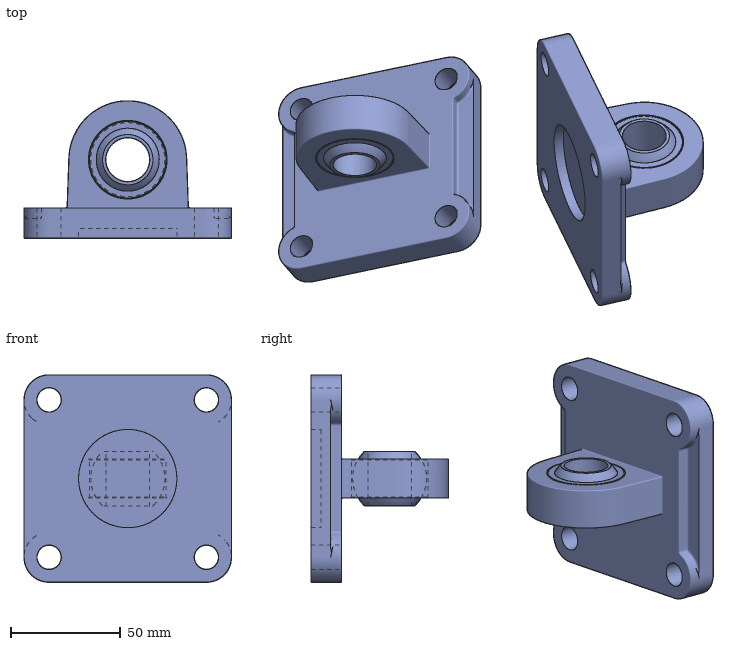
import cadquery as cq
import math

plate_size = 95.0
plate_thickness = 14.0
axis_to_mounting_face = 36.0
bolt_spacing = 72.0
bolt_hole_diameter = 11.0
edge_fillet = 0.5

recess_diameter = 45.0
recess_depth = 4.5

pocket_depth = 8.0
pocket_corner_radius = 1.5
pocket_floor_fillet = 1.0
side_flange_thickness = 9.0

tongue_radius = 27.0
tongue_thickness = 18.0
tongue_taper = math.radians(2.0)
tongue_base_fillet = 0.5

bore_diameter = 20.0
ball_diameter = 34.0
ball_width = 25.0
race_diameter = 35.0
seat_chamfer = 0.5

half_plate = plate_size / 2
half_bolt = bolt_spacing / 2
boss_radius = half_plate - half_bolt
mounting_face_y = -axis_to_mounting_face
plate_back_y = mounting_face_y + plate_thickness
pocket_floor_y = mounting_face_y + side_flange_thickness
tolerance = 0.1


def xz_plane(y):
    """Sketch plane at the given Y: local x is X, local y is Z; extruding by -d goes towards +Y."""
    return cq.Workplane(cq.Plane(origin=(0, y, 0), xDir=(1, 0, 0), normal=(0, -1, 0)))


def make_pocket():
    """Cutter for the -X side pocket, which curves around the corner bosses above and below it."""
    outside_x = -half_plate - pocket_depth
    wall_x = -half_plate + pocket_depth

    corner_x = wall_x - pocket_corner_radius
    angle = math.acos((-half_bolt - corner_x) / (boss_radius + pocket_corner_radius))
    corner_z = half_bolt - (boss_radius + pocket_corner_radius) * math.sin(angle)
    corner_mid_x = corner_x + pocket_corner_radius * math.cos(angle / 2)
    corner_mid_z = corner_z + pocket_corner_radius * math.sin(angle / 2)

    tangent_x = -half_bolt - boss_radius * math.cos(angle)
    tangent_z = half_bolt - boss_radius * math.sin(angle)
    boss_mid_x = -half_bolt - boss_radius * math.cos(angle / 2)
    boss_mid_z = half_bolt - boss_radius * math.sin(angle / 2)

    sharp_pocket = (
        xz_plane(pocket_floor_y)
        .moveTo(-half_plate, half_bolt)
        .threePointArc((boss_mid_x, boss_mid_z), (tangent_x, tangent_z))
        .threePointArc((corner_mid_x, corner_mid_z), (wall_x, corner_z))
        .lineTo(wall_x, -corner_z)
        .threePointArc((corner_mid_x, -corner_mid_z), (tangent_x, -tangent_z))
        .threePointArc((boss_mid_x, -boss_mid_z), (-half_plate, -half_bolt))
        .lineTo(outside_x, -half_bolt)
        .lineTo(outside_x, half_bolt)
        .close()
        .extrude(-(plate_back_y - pocket_floor_y))
    )
    floor_edges = cq.selectors.BoxSelector(
        (-half_plate - tolerance, pocket_floor_y - tolerance, -half_bolt),
        (0, pocket_floor_y + tolerance, half_bolt),
    )
    rounded_pocket = sharp_pocket.edges(floor_edges).fillet(pocket_floor_fillet)

    fade_length = math.sqrt(boss_radius**2 - (boss_radius - pocket_floor_fillet) ** 2)
    fillet_top_y = pocket_floor_y + pocket_floor_fillet
    fade = (
        cq.Workplane("YZ", origin=(outside_x, 0, 0))
        .moveTo(pocket_floor_y, half_bolt)
        .lineTo(fillet_top_y, half_bolt - fade_length)
        .lineTo(fillet_top_y, half_bolt)
        .close()
        .extrude(-half_bolt - outside_x)
    )
    both_fades = fade.union(fade.mirror("XY"))
    return rounded_pocket.union(sharp_pocket.intersect(both_fades))


def make_plate():
    """Square plate with rounded corners, side pockets and softened front and back edges."""
    plate = (
        xz_plane(mounting_face_y)
        .rect(plate_size, plate_size)
        .extrude(-plate_thickness)
        .edges("|Y")
        .fillet(boss_radius)
    )
    pocket = make_pocket()
    plate = plate.cut(pocket).cut(pocket.mirror("YZ"))
    return plate.faces("<Y or >Y").edges().fillet(edge_fillet)


def make_tongue():
    """Round-ended tongue whose sides leave the end arc tangentially and widen to the plate."""
    tangent_x = tongue_radius * math.cos(tongue_taper)
    tangent_y = tongue_radius * math.sin(tongue_taper)
    base_x = tangent_x + (tangent_y - plate_back_y) * math.tan(tongue_taper)
    tongue = (
        cq.Workplane("XY", origin=(0, 0, -tongue_thickness / 2))
        .moveTo(-base_x, plate_back_y)
        .lineTo(-tangent_x, tangent_y)
        .threePointArc((0, tongue_radius), (tangent_x, tangent_y))
        .lineTo(base_x, plate_back_y)
        .close()
        .extrude(tongue_thickness)
    )
    return tongue.faces("<Z or >Z").edges("not <Y").fillet(edge_fillet)


def make_seat():
    """Cylinder that fills the bearing seat through the tongue."""
    return cq.Workplane("XY").circle(race_diameter / 2).extrude(tongue_thickness / 2, both=True)


def make_housing():
    """Plate and tongue in one piece, with the bolt holes, locating recess and bearing seat."""
    base_edges = cq.selectors.BoxSelector(
        (-half_bolt, plate_back_y - tolerance, -tongue_thickness),
        (half_bolt, plate_back_y + tolerance, tongue_thickness),
    )
    housing = make_plate().union(make_tongue()).edges(base_edges).fillet(tongue_base_fillet)

    bolt_holes = (
        xz_plane(mounting_face_y)
        .rect(bolt_spacing, bolt_spacing, forConstruction=True)
        .vertices()
        .circle(bolt_hole_diameter / 2)
        .extrude(-plate_thickness)
    )
    recess = xz_plane(mounting_face_y).circle(recess_diameter / 2).extrude(-recess_depth)
    chamfered_rim = (
        cq.Workplane("XY", origin=(0, 0, tongue_thickness / 2))
        .circle(race_diameter / 2 + seat_chamfer)
        .workplane(offset=-seat_chamfer)
        .circle(race_diameter / 2)
        .loft(ruled=True)
    )
    housing = housing.cut(bolt_holes).cut(recess).cut(make_seat())
    return housing.cut(chamfered_rim).cut(chamfered_rim.mirror("XY"))


def make_race():
    """Outer race, flush with the tongue faces and hollowed to the ball."""
    return make_seat().cut(cq.Workplane("XY").sphere(ball_diameter / 2))


def make_ball():
    """Ball with flat ends and a through bore."""
    slab = cq.Workplane("XY").box(ball_diameter, ball_diameter, ball_width)
    bore = cq.Workplane("XY").circle(bore_diameter / 2).extrude(ball_width / 2, both=True)
    return cq.Workplane("XY").sphere(ball_diameter / 2).intersect(slab).cut(bore)


housing = make_housing()
race = make_race()
ball = make_ball()
result = cq.Compound.makeCompound([body.solids().val() for body in (housing, race, ball)])